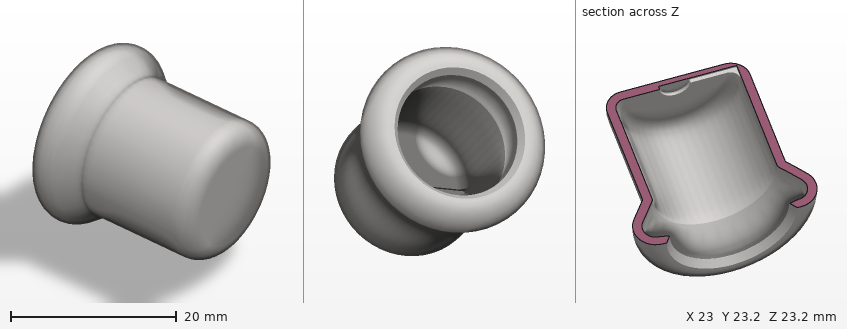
import cadquery as cq
import math

length = 23.0
rim_radius = 11.6
body_radius = 9.1
bore_radius = 15.8 / 2
throat_radius = 15.2 / 2
wall = body_radius - bore_radius

rim_round = 2.8
rim_centre_radius = rim_radius - rim_round
cone_end = 6.98

mouth_radius = 8.28
taper_break = 0.5
throat_start = 0.9
throat_end = 0.95

end_round = 2.48
floor_round = end_round - wall
floor_x = length - wall

recess_radius = 1.97
slot_width = 0.63
recess_depth = 0.46


def cone_tangent_angle():
    """Angle on the rim round where the cone leaves it tangentially."""
    dx = cone_end - rim_round
    dr = body_radius - rim_centre_radius
    return math.atan2(dr, dx) + math.acos(rim_round / math.hypot(dx, dr))


def rim_point(angle, size):
    """Point (x, radius) on a round about the rim centre, angle measured from +X outwards."""
    return (
        rim_round + size * math.cos(angle),
        rim_centre_radius + size * math.sin(angle),
    )


def round_middle(centre_x, centre_radius, size):
    """Middle point of a quarter round at the closed end."""
    offset = size * math.sqrt(0.5)
    return (centre_x + offset, centre_radius + offset)


def make_body():
    """Hollow turned shell whose cavity follows the rim, cone and rounded closed end."""
    end_centre_x = length - end_round
    end_centre_radius = body_radius - end_round
    tangent = cone_tangent_angle()
    rim_middle = (math.pi + tangent) / 2
    cavity_round = rim_round - wall
    inner_cone_end = cone_end - wall * math.tan((math.pi / 2 - tangent) / 2)
    profile = (
        cq.Workplane("XY")
        .moveTo(0, mouth_radius)
        .lineTo(0, rim_centre_radius)
        .threePointArc(rim_point(rim_middle, rim_round), rim_point(tangent, rim_round))
        .lineTo(cone_end, body_radius)
        .lineTo(end_centre_x, body_radius)
        .threePointArc(
            round_middle(end_centre_x, end_centre_radius, end_round),
            (length, end_centre_radius),
        )
        .lineTo(length, 0)
        .lineTo(floor_x, 0)
        .lineTo(floor_x, end_centre_radius)
        .threePointArc(
            round_middle(end_centre_x, end_centre_radius, floor_round),
            (end_centre_x, bore_radius),
        )
        .lineTo(inner_cone_end, bore_radius)
        .lineTo(*rim_point(tangent, cavity_round))
        .threePointArc(rim_point(rim_middle, cavity_round), (wall, rim_centre_radius))
        .lineTo(throat_end, throat_radius)
        .lineTo(throat_start, throat_radius)
        .lineTo(taper_break, bore_radius)
        .close()
    )
    return profile.revolve(360, (0, 0, 0), (1, 0, 0))


def make_recess():
    """Round pocket with a slot running from it to the -Y side of the bore."""
    reach = floor_round + recess_depth
    start_x = floor_x - floor_round
    pocket = cq.Workplane("YZ", origin=(start_x, 0, 0)).circle(recess_radius).extrude(reach)
    slot = (
        cq.Workplane("YZ", origin=(start_x, -bore_radius / 2, 0))
        .rect(bore_radius, slot_width)
        .extrude(reach)
    )
    return pocket.union(slot)


result = make_body().cut(make_recess())